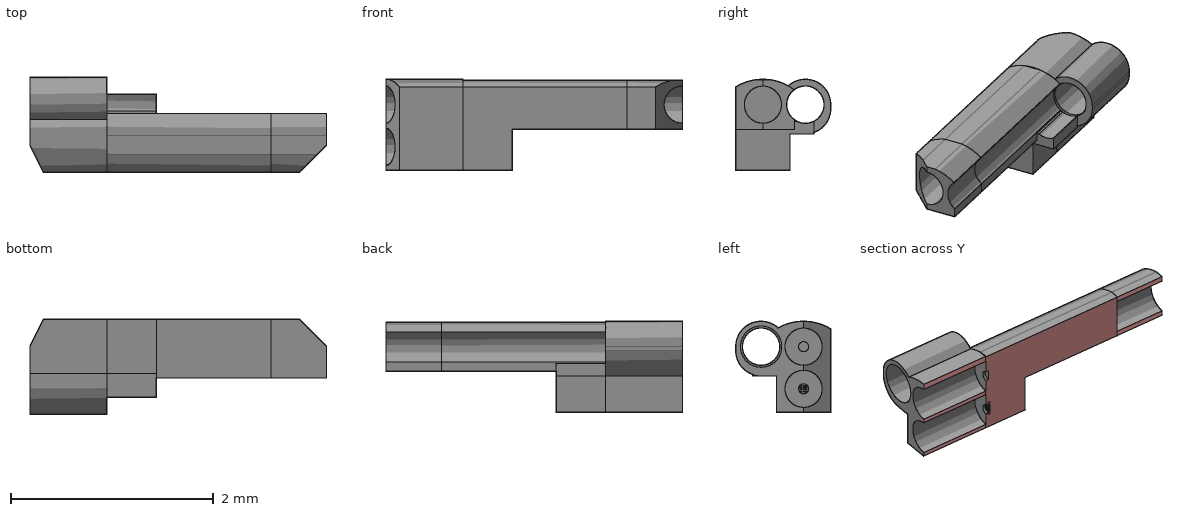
import cadquery as cq
import math

HEAD_END = 0.762
LEG_END = 1.248
TIP_START = 2.38
TOTAL_LENGTH = 2.93

HALF_WIDTH = 0.27
TOP_Z = 0.252
TOP_RADIUS = 0.51
BASE_Z = -0.648
BORE_DIAMETER = 0.365
LOWER_BORE_Z = -0.415

TUBE_Y = 0.42
TUBE_RADIUS = 0.252
TUBE_DROP = 0.038
FLOOR_Z = -(TUBE_DROP + TUBE_RADIUS)
TUBE_BORE_DIAMETER = 0.407
TUBE_LIP_LENGTH = 0.03

ARM_HALF_HEIGHT = 0.243
ARM_SIDE_Y = 0.314

LIP_Y = TUBE_Y + 0.085
CRADLE_TOP_Z = -0.165

HEAD_CHAMFER_LENGTH = 0.135
TIP_CHAMFER_LENGTH = HALF_WIDTH

APERTURE_DIAMETER = 0.1
FRONT_WALL = 0.03
INSERT_X = HEAD_END + FRONT_WALL
SCREEN_DIAMETER = 0.14
SCREEN_THICKNESS = 0.018
MESH_PITCH = 0.025
MESH_OPENING = 0.015
MESH_COUNT = 3


def box(x0, x1, y0, y1, z0, z1):
    """Box between pairs of coordinates."""
    corner = (x0, y0, z0)
    return cq.Workplane("XY").box(x1 - x0, y1 - y0, z1 - z0, centered=False).translate(corner)


def rod(diameter, x0, x1, y=0.0, z=0.0):
    """Cylinder along X between two stations."""
    return cq.Workplane("YZ", origin=(x0, y, z)).circle(diameter / 2).extrude(x1 - x0)


def crowned_block(x0, x1, base_z, side_y):
    """Block whose top is a cylinder along X."""
    crown_z = TOP_Z - TOP_RADIUS
    side_top_z = crown_z + math.sqrt(TOP_RADIUS**2 - side_y**2)
    edge_top_z = crown_z + math.sqrt(TOP_RADIUS**2 - HALF_WIDTH**2)
    return (
        cq.Workplane("YZ", origin=(x0, 0, 0))
        .moveTo(-HALF_WIDTH, base_z)
        .lineTo(side_y, base_z)
        .lineTo(side_y, side_top_z)
        .threePointArc((0, TOP_Z), (-HALF_WIDTH, edge_top_z))
        .close()
        .extrude(x1 - x0)
    )


def corner_wedge(x_end, x_start):
    """Vertical wedge that cuts the -Y corner at one end."""
    return (
        cq.Workplane("XY", origin=(0, 0, BASE_Z))
        .polyline([(x_end, 0), (x_start, -HALF_WIDTH), (x_end, -HALF_WIDTH)])
        .close()
        .extrude(TOP_Z - BASE_Z)
    )


def make_head():
    """Head with two bores and a guide tube on its +Y side."""
    block = crowned_block(0, HEAD_END, BASE_Z, HALF_WIDTH)
    upper = rod(2 * TUBE_RADIUS, 0, HEAD_END, TUBE_Y)
    lower = rod(2 * TUBE_RADIUS, 0, HEAD_END, TUBE_Y, -TUBE_DROP)
    straight = box(0, HEAD_END, TUBE_Y - TUBE_RADIUS, TUBE_Y + TUBE_RADIUS, -TUBE_DROP, 0)
    web = box(0, HEAD_END, 0, TUBE_Y, FLOOR_Z, 0)
    head = block.union(upper).union(lower).union(straight).union(web)
    for y, z in [(0, 0), (0, LOWER_BORE_Z), (TUBE_Y, 0)]:
        head = head.cut(rod(BORE_DIAMETER, 0, HEAD_END, y, z))
    head = head.cut(rod(TUBE_BORE_DIAMETER, 0, HEAD_END - TUBE_LIP_LENGTH, TUBE_Y))
    return head.cut(corner_wedge(0, HEAD_CHAMFER_LENGTH))


def arm(x0, x1):
    """Flat-topped arm, before its side groove is cut."""
    flat_top = box(x0, x1, -HALF_WIDTH, TUBE_Y, BASE_Z, ARM_HALF_HEIGHT)
    return crowned_block(x0, x1, -ARM_HALF_HEIGHT, ARM_SIDE_Y).intersect(flat_top)


def side_groove(x0, x1):
    """Round groove along the +Y side, in line with the tube."""
    return rod(BORE_DIAMETER, x0, x1, TUBE_Y)


def make_screen():
    """Round screen with a square grid of openings."""
    disc = rod(SCREEN_DIAMETER, INSERT_X, INSERT_X + SCREEN_THICKNESS, 0, LOWER_BORE_Z)
    openings = (
        cq.Workplane("YZ", origin=(INSERT_X, 0, LOWER_BORE_Z))
        .rarray(MESH_PITCH, MESH_PITCH, MESH_COUNT, MESH_COUNT)
        .rect(MESH_OPENING, MESH_OPENING)
        .extrude(SCREEN_THICKNESS)
    )
    return disc.cut(openings)


def make_middle():
    """Arm with a lower leg, a cradle in line with the tube and two small front openings."""
    leg = box(HEAD_END, LEG_END, -HALF_WIDTH, HALF_WIDTH, BASE_Z, -BORE_DIAMETER / 2)
    floor = box(HEAD_END, LEG_END, 0, LIP_Y, FLOOR_Z, CRADLE_TOP_Z)
    middle = arm(HEAD_END, TIP_START).union(leg).union(floor)
    middle = middle.cut(side_groove(HEAD_END, TIP_START))
    for z in (0, LOWER_BORE_Z):
        middle = middle.cut(rod(APERTURE_DIAMETER, HEAD_END, INSERT_X, 0, z))
    seat = rod(SCREEN_DIAMETER, INSERT_X, INSERT_X + SCREEN_THICKNESS, 0, LOWER_BORE_Z)
    return middle.cut(seat)


def make_tip():
    """End of the arm, with the upper bore opening through its chamfer."""
    tip = arm(TIP_START, TOTAL_LENGTH).cut(side_groove(TIP_START, TOTAL_LENGTH))
    tip = tip.cut(rod(BORE_DIAMETER, TIP_START, TOTAL_LENGTH))
    return tip.cut(corner_wedge(TOTAL_LENGTH, TOTAL_LENGTH - TIP_CHAMFER_LENGTH))


head = make_head()
middle = make_middle()
screen = make_screen()
tip = make_tip()

result = cq.Compound.makeCompound([head.val(), middle.val(), screen.val(), tip.val()])